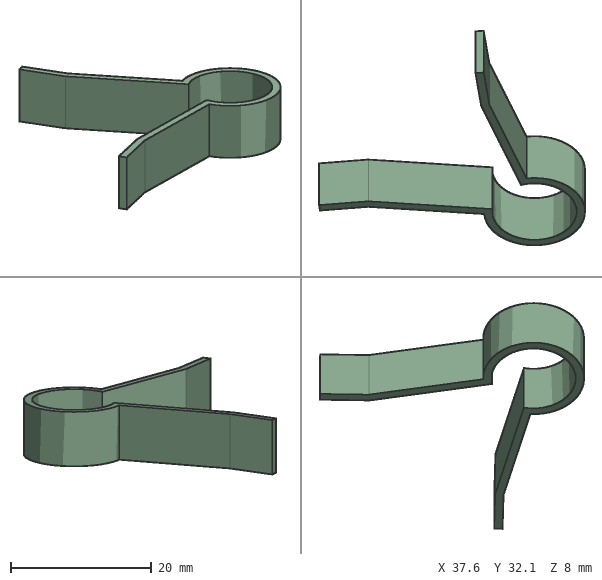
import cadquery as cq
import math

width = 8.0
thickness = 1.2
bore_radius = 6.0
arm_angle = 57.0
tip_angle = 45.0
overall_x = 37.6
overall_y = 32.15

ring_radius = bore_radius + thickness


def along(angle):
    """Unit vector pointing down and to the left at the given slope."""
    return -math.cos(math.radians(angle)), -math.sin(math.radians(angle))


def outward(angle):
    """Unit normal of that direction, pointing to the outer side of the left arm."""
    return -math.sin(math.radians(angle)), math.cos(math.radians(angle))


def shift(point, direction, distance):
    return point[0] + direction[0] * distance, point[1] + direction[1] * distance


def mirrored(point):
    return -point[0], point[1]


arm_along = along(arm_angle)
arm_out = outward(arm_angle)
tip_along = along(tip_angle)
tip_out = outward(tip_angle)

inner_root = shift((0, 0), arm_along, bore_radius)
outer_root_reach = math.sqrt(ring_radius**2 - thickness**2)
outer_root = shift(shift((0, 0), arm_out, thickness), arm_along, outer_root_reach)

inner_tip_y = ring_radius - overall_y
outer_tip_x = -overall_x / 2
inner_tip = (outer_tip_x - tip_out[0] * thickness, inner_tip_y)
outer_tip = shift(inner_tip, tip_out, thickness)

bend_reach = (inner_tip[0] * tip_along[1] - inner_tip[1] * tip_along[0]) / (
    arm_along[0] * tip_along[1] - arm_along[1] * tip_along[0]
)
inner_bend = shift((0, 0), arm_along, bend_reach)

half_bend = math.radians(arm_angle - tip_angle) / 2
bisector = outward((arm_angle + tip_angle) / 2)
outer_bend = shift(inner_bend, bisector, thickness / math.cos(half_bend))

result = (
    cq.Workplane("XY")
    .moveTo(*inner_root)
    .lineTo(*inner_bend)
    .lineTo(*inner_tip)
    .lineTo(*outer_tip)
    .lineTo(*outer_bend)
    .lineTo(*outer_root)
    .threePointArc((0, ring_radius), mirrored(outer_root))
    .lineTo(*mirrored(outer_bend))
    .lineTo(*mirrored(outer_tip))
    .lineTo(*mirrored(inner_tip))
    .lineTo(*mirrored(inner_bend))
    .lineTo(*mirrored(inner_root))
    .threePointArc((0, bore_radius), inner_root)
    .close()
    .extrude(width)
)